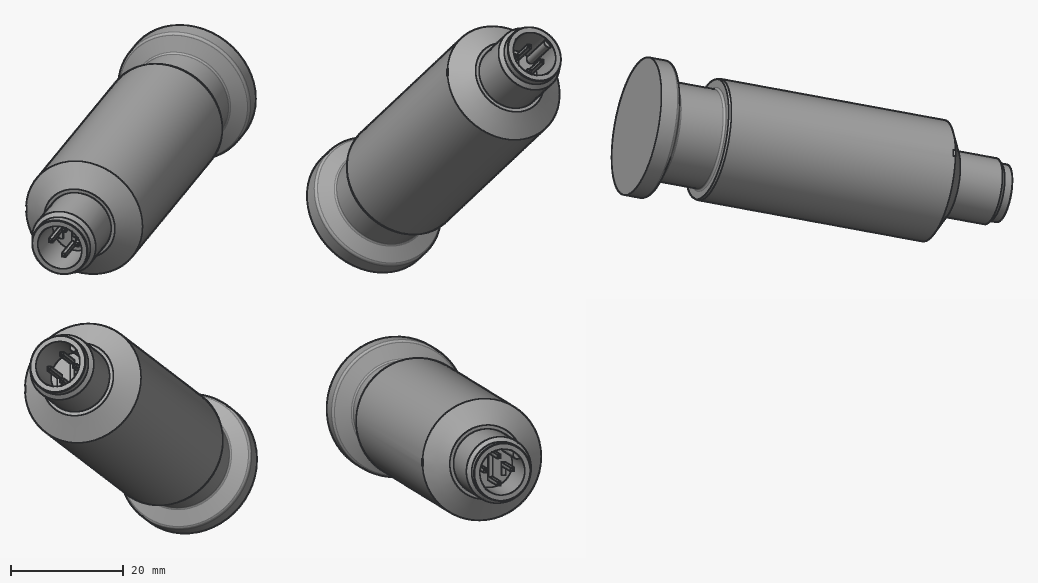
import cadquery as cq
import math

total_length = 69.6

flange_diameter = 24.9
flange_edge_length = 3.45
flange_slope = math.radians(21)
neck_diameter = 18.0
neck_fillet = 0.4
flange_fillet = 0.6

body_diameter = 22.0
body_start = 13.42
body_edge_diameter = 21.7
body_edge_length = 0.45
body_end = 56.5
body_taper_length = 2.6
body_taper_end_diameter = 13.4

notch_width = 1.2
notch_length = 0.4
notch_depth = 0.15

plug_diameter = 12.0
plug_taper_start = 67.35
rim_diameter = 10.5
rim_chamfer = 0.1
socket_diameter = 8.3
socket_depth = 8.0

pin_width = 0.7
pin_tip_width = 0.15
pin_tip_length = 0.4
pin_recess = 1.7
pin_circle_radius = 2.45
pin_count = 4

rib_height = 0.5
side_rib_end = 2.0

key_radius = 0.8
key_angle = math.radians(45)
key_recess = 0.5

selection_margin = 0.01

socket_floor = total_length - socket_depth


def along_axis(distance):
    """XZ workplane at a distance from the flange face, pointing towards the plug end."""
    return cq.Workplane("XZ", origin=(0, -distance, 0))


def round_circle(solid, radius, distance, fillet):
    """Fillet the circular edge of the given radius at a distance from the flange face."""
    reach = radius + selection_margin
    box = cq.selectors.BoxSelector(
        (-reach, -distance - selection_margin, -reach),
        (reach, -distance + selection_margin, reach),
        boundingbox=True,
    )
    return solid.edges(box).fillet(fillet)


def turned_body():
    flange_radius = flange_diameter / 2
    neck_radius = neck_diameter / 2
    body_radius = body_diameter / 2
    body_edge_radius = body_edge_diameter / 2
    plug_radius = plug_diameter / 2
    rim_radius = rim_diameter / 2
    neck_start = flange_edge_length + (flange_radius - neck_radius) * math.tan(flange_slope)
    taper_end = body_end + body_taper_length
    plug_taper_end = plug_taper_start + plug_radius - rim_radius
    outline = [
        (0, 0),
        (flange_radius, 0),
        (flange_radius, -flange_edge_length),
        (neck_radius, -neck_start),
        (neck_radius, -body_start),
        (body_edge_radius, -body_start),
        (body_radius, -body_start - body_edge_length),
        (body_radius, -body_end),
        (body_taper_end_diameter / 2, -taper_end),
        (plug_radius, -taper_end),
        (plug_radius, -plug_taper_start),
        (rim_radius, -plug_taper_end),
        (rim_radius, -total_length + rim_chamfer),
        (rim_radius - rim_chamfer, -total_length),
        (0, -total_length),
    ]
    body = cq.Workplane("XY").polyline(outline).close().revolve(360, (0, 0), (0, 1))

    body = round_circle(body, flange_radius, flange_edge_length, flange_fillet)
    body = round_circle(body, neck_radius, neck_start, neck_fillet)
    return round_circle(body, neck_radius, body_start, neck_fillet)


def socket():
    return along_axis(socket_floor).circle(socket_diameter / 2).extrude(socket_depth)


def pin(x, z):
    shank_length = socket_depth - pin_recess - pin_tip_length
    shank = along_axis(socket_floor).center(x, z).rect(pin_width, pin_width).extrude(shank_length)
    tip_taper = math.degrees(math.atan((pin_width - pin_tip_width) / 2 / pin_tip_length))
    return shank.faces("<Y").wires().toPending().workplane().extrude(pin_tip_length, taper=tip_taper)


def index_notch():
    notch = along_axis(body_end - notch_length)
    return notch.center(-body_diameter / 2, 0).rect(2 * notch_depth, notch_width).extrude(body_taper_length)


def floor_rib(x, z_low, z_high):
    height = z_high - z_low
    middle = (z_low + z_high) / 2
    return along_axis(socket_floor).center(x, middle).rect(pin_width, height).extrude(rib_height)


def key():
    wall_radius = socket_diameter / 2
    x = wall_radius * math.cos(key_angle)
    z = wall_radius * math.sin(key_angle)
    rod = along_axis(socket_floor).center(x, z).circle(key_radius).extrude(socket_depth - key_recess)
    return rod.intersect(socket())


result = turned_body().cut(socket()).cut(index_notch()).union(key())
for index in range(pin_count):
    angle = 2 * math.pi * index / pin_count
    result = result.union(pin(pin_circle_radius * math.cos(angle), pin_circle_radius * math.sin(angle)))

result = result.union(floor_rib(0, -pin_circle_radius, pin_circle_radius))
for x in (-pin_circle_radius, pin_circle_radius):
    result = result.union(floor_rib(x, -side_rib_end, 0))